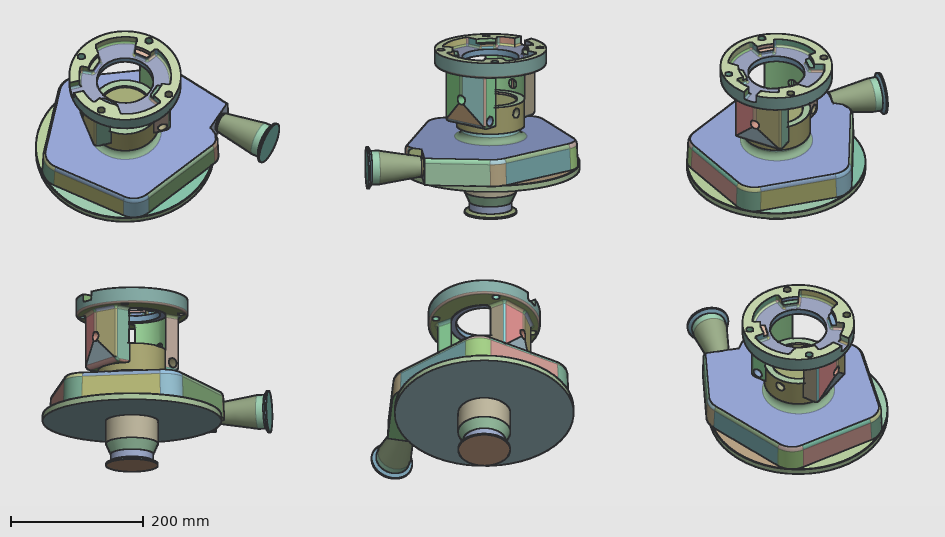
import cadquery as cq
import math

INLET_CONE_BOTTOM_Z = 17.5
INLET_CONE_TOP_Z = 33.8
DISC_BOTTOM_Z = 69.0
DISC_TOP_Z = 79.0
VOLUTE_TOP_Z = 119.5
COLLAR_BOTTOM_Z = 136.2
LEG_BOTTOM_Z = 147.5
COLLAR_TOP_Z = 177.5
FLANGE_BOTTOM_Z = 232.5
FLANGE_TOP_Z = 256.0

DISC_DIAMETER = 270.0
DISC_RADIUS = DISC_DIAMETER / 2
DISC_CHAMFER = 0.7
INLET_BODY_RADIUS = 39.5
INLET_TUBE_RADIUS = 32.5
INLET_RIM_RADIUS = 39.2
RIM_THICKNESS = 2.5
RIM_TAPER_LENGTH = 3.5
NECK_RADIUS = 44.7
NECK_FILLET = 9.8
COLLAR_RADIUS = 51.2
COLLAR_RECESS_RADIUS = 40.5
COLLAR_RECESS_DEPTH = 3.0
COLLAR_RECESS_TAPER = 0.7
COLLAR_HOLE_RADIUS = 7.3
COLLAR_HOLE_Z = 164.2
COLLAR_HOLE_DEPTH = 11.0

VOLUTE_APOTHEM = 115.0
VOLUTE_SIDE_ANGLE = 27.0
PENTAGON_STEP = 72.0
OUTER_WALL_ANGLE = 125.5
OUTER_WALL_DISTANCE = 139.5
VOLUTE_DRAFT = 2.0
VOLUTE_CORNER_RADIUS = 32.7
TONGUE_CORNER_RADIUS = 19.3
VOLUTE_EDGE_ROUND = 8.7
VOLUTE_ROUND_OVERHEIGHT = 1.8
TONGUE_CORNER = (63.5, 128.5)
TONGUE_PEAK = (56.0, 131.5)
TONGUE_ANGLE = 166.0

OUTLET_ANGLE = 45.0
OUTLET_FACE = 110.0
OUTLET_FACE_INNER_SIDE = 67.0
OUTLET_OFFSET = 96.0
OUTLET_Z = 100.5
OUTLET_END = 195.5
OUTLET_CONE_START = 113.5
OUTLET_CONE_END = 177.5
OUTLET_ROOT_RADIUS = 13.8
OUTLET_SMALL_RADIUS = 15.3
OUTLET_TUBE_RADIUS = 25.8
OUTLET_RIM_RADIUS = 31.5

LEG_HALF_WIDTH = 39.0
LEG_EDGE_Y = 59.2
LEG_RIDGE_Y = 69.5
LEG_STRIP_HALF_WIDTH = 3.0
LEG_SLOPE_START_Z = 185.5
LEG_SLOPE_END_Y = 58.5
LEG_SIDE_FILLET = 3.3
LEG_TOE_FILLET = 8.7
LEG_ROOT_FILLET = 4.5
LANTERN_BORE_RADIUS = 52.0
LANTERN_BORE_TOP_Z = 234.0
LEG_HOLE_RADIUS = 7.3
LEG_HOLE_Z = 190.5
LEG_SLIT_HALF_WIDTH = 1.8
CROSS_HOLE_Y = 47.5
CROSS_HOLE_Z = 159.0

FLANGE_RADIUS = 84.3
FLANGE_EDGE_FILLET = 3.0
FLANGE_BORE_DIAMETER = 85.5
FLANGE_BORE_RADIUS = FLANGE_BORE_DIAMETER / 2
BOLT_HOLE_RADIUS = 5.5
BOLT_HOLE_OFFSET = 53.0
POCKET_FLOOR_Z = 243.5
POCKET_RADIUS_X = 73.5
POCKET_RADIUS_Y = 69.5
POCKET_X_HALF_WIDTH = 41.8
POCKET_CORNER_RADIUS = 3.3
POCKET_FLOOR_FILLET = 3.0
PAD_END = 49.0
PAD_END_HALF_WIDTH = 11.0
PAD_OUTER = 87.2
PAD_TAPER = 17.0
PAD_WIDE_TAPER = 45.0
PAD_CORNER_RADIUS = 3.0
LEDGE_RADIUS = 57.5
LEDGE_Z = 250.0
KEY_SLOT_HALF_WIDTH = 10.0

CLEARANCE = 3.5


def direction(angle):
    return math.cos(math.radians(angle)), math.sin(math.radians(angle))


def corner(angle_a, distance_a, angle_b, distance_b):
    """Point where two lines meet, each given by its normal angle and distance from the axis."""
    ax, ay = direction(angle_a)
    bx, by = direction(angle_b)
    det = ax * by - ay * bx
    return (distance_a * by - distance_b * ay) / det, (ax * distance_b - bx * distance_a) / det


def outlet_point(along, aside):
    """Plan point given along the outlet direction and to the right of it."""
    ux, uy = direction(OUTLET_ANGLE)
    return along * ux + aside * uy, along * uy - aside * ux


def cylinder(radius, bottom, top, x=0.0, y=0.0):
    return cq.Workplane("XY").workplane(offset=bottom).center(x, y).circle(radius).extrude(top - bottom)


def make_turned_body():
    """Inlet, disc, neck and collar, turned about the Z axis."""
    rim_top = RIM_THICKNESS + RIM_TAPER_LENGTH
    profile = (
        cq.Workplane("XZ")
        .moveTo(0, 0)
        .lineTo(INLET_RIM_RADIUS, 0)
        .lineTo(INLET_RIM_RADIUS, RIM_THICKNESS)
        .lineTo(INLET_TUBE_RADIUS, rim_top)
        .lineTo(INLET_TUBE_RADIUS, INLET_CONE_BOTTOM_Z)
        .lineTo(INLET_BODY_RADIUS, INLET_CONE_TOP_Z)
        .lineTo(INLET_BODY_RADIUS, DISC_BOTTOM_Z)
        .lineTo(DISC_RADIUS, DISC_BOTTOM_Z)
        .lineTo(DISC_RADIUS, DISC_TOP_Z - DISC_CHAMFER)
        .lineTo(DISC_RADIUS - DISC_CHAMFER, DISC_TOP_Z)
        .lineTo(NECK_RADIUS + NECK_FILLET, DISC_TOP_Z)
        .lineTo(NECK_RADIUS + NECK_FILLET, VOLUTE_TOP_Z)
        .radiusArc((NECK_RADIUS, VOLUTE_TOP_Z + NECK_FILLET), NECK_FILLET)
        .lineTo(NECK_RADIUS, COLLAR_BOTTOM_Z)
        .lineTo(COLLAR_RADIUS, COLLAR_BOTTOM_Z)
        .lineTo(COLLAR_RADIUS, COLLAR_TOP_Z)
        .lineTo(COLLAR_RECESS_RADIUS, COLLAR_TOP_Z)
        .lineTo(COLLAR_RECESS_RADIUS - COLLAR_RECESS_TAPER, COLLAR_TOP_Z - COLLAR_RECESS_DEPTH)
        .lineTo(0, COLLAR_TOP_Z - COLLAR_RECESS_DEPTH)
        .close()
    )
    return profile.revolve(360, (0, 0, 0), (0, 1, 0))


def make_volute():
    """Drafted casing on a regular pentagon, drawn out on one side to the outlet face."""
    right, front_right, front_left, left = [VOLUTE_SIDE_ANGLE - PENTAGON_STEP * i for i in range(4)]
    rounded = [
        corner(right, VOLUTE_APOTHEM, front_right, VOLUTE_APOTHEM),
        corner(front_right, VOLUTE_APOTHEM, front_left, VOLUTE_APOTHEM),
        corner(front_left, VOLUTE_APOTHEM, left, VOLUTE_APOTHEM),
        corner(left, VOLUTE_APOTHEM, OUTER_WALL_ANGLE, OUTER_WALL_DISTANCE),
    ]
    overshoot = 18.0
    past_face = corner(OUTER_WALL_ANGLE, OUTER_WALL_DISTANCE, OUTLET_ANGLE, OUTLET_FACE + overshoot)
    tx, ty = direction(TONGUE_ANGLE)
    past_peak = (TONGUE_CORNER[0] + overshoot * tx, TONGUE_CORNER[1] + overshoot * ty)
    height = VOLUTE_TOP_Z - DISC_TOP_Z + VOLUTE_ROUND_OVERHEIGHT
    block = (
        cq.Workplane("XY")
        .workplane(offset=DISC_TOP_Z)
        .polyline([TONGUE_CORNER] + rounded + [past_face, past_peak])
        .close()
        .extrude(height, taper=VOLUTE_DRAFT)
    )

    def edge_near(point):
        return cq.selectors.NearestToPointSelector((point[0], point[1], (DISC_TOP_Z + VOLUTE_TOP_Z) / 2))

    for point in rounded:
        block = block.edges(edge_near(point)).fillet(VOLUTE_CORNER_RADIUS)
    block = block.edges(edge_near(TONGUE_CORNER)).fillet(TONGUE_CORNER_RADIUS)
    block = block.faces(">Z").edges().fillet(VOLUTE_EDGE_ROUND)

    far = 2 * DISC_RADIUS
    notch = (
        cq.Workplane("XY")
        .workplane(offset=DISC_TOP_Z)
        .polyline([
            outlet_point(OUTLET_FACE, OUTLET_FACE_INNER_SIDE - far),
            outlet_point(OUTLET_FACE, -OUTLET_FACE_INNER_SIDE),
            TONGUE_PEAK,
            outlet_point(far, 0),
            outlet_point(far, -far),
        ])
        .close()
        .extrude(height)
    )
    top_trim = cylinder(far, VOLUTE_TOP_Z, VOLUTE_TOP_Z + VOLUTE_ROUND_OVERHEIGHT)
    return block.cut(notch).cut(top_trim)


def make_outlet():
    """Conical nozzle with a rim, turned about the outlet axis and rooted inside the volute."""
    ux, uy = direction(OUTLET_ANGLE)
    x, y = outlet_point(0, -OUTLET_OFFSET)
    plane = cq.Plane(origin=(x, y, OUTLET_Z), xDir=(uy, -ux, 0), normal=(0, 0, 1))
    root_start = OUTLET_FACE - OUTLET_ROOT_RADIUS
    rim_start = OUTLET_END - RIM_THICKNESS
    profile = [
        (0, root_start),
        (OUTLET_ROOT_RADIUS, root_start),
        (OUTLET_ROOT_RADIUS, OUTLET_CONE_START),
        (OUTLET_SMALL_RADIUS, OUTLET_CONE_START),
        (OUTLET_TUBE_RADIUS, OUTLET_CONE_END),
        (OUTLET_TUBE_RADIUS, rim_start - RIM_TAPER_LENGTH),
        (OUTLET_RIM_RADIUS, rim_start),
        (OUTLET_RIM_RADIUS, OUTLET_END),
        (0, OUTLET_END),
    ]
    return cq.Workplane(plane).polyline(profile).close().revolve(360, (0, 0, 0), (0, 1, 0))


def make_leg_block():
    """Both legs as one block across the axis; the lantern bore later splits it."""
    quarter = [(LEG_HALF_WIDTH, LEG_EDGE_Y), (LEG_STRIP_HALF_WIDTH, LEG_RIDGE_Y)]
    back = quarter + [(-x, y) for x, y in reversed(quarter)]
    outline = back + [(-x, -y) for x, y in back]
    block = (
        cq.Workplane("XY")
        .workplane(offset=LEG_BOTTOM_Z)
        .polyline(outline)
        .close()
        .extrude(FLANGE_BOTTOM_Z - LEG_BOTTOM_Z)
    )
    envelope_half = [
        (LEG_SLOPE_END_Y, LEG_BOTTOM_Z),
        (LEG_RIDGE_Y, LEG_SLOPE_START_Z),
        (LEG_RIDGE_Y, FLANGE_BOTTOM_Z),
    ]
    envelope = (
        cq.Workplane("YZ")
        .polyline(envelope_half + [(-y, z) for y, z in reversed(envelope_half)])
        .close()
        .extrude(LEG_HALF_WIDTH, both=True)
    )
    block = block.intersect(envelope)
    block = block.faces("<Z").edges("|X").fillet(LEG_TOE_FILLET)
    return block.faces("<X or >X").edges("not >Z").fillet(LEG_SIDE_FILLET)


def make_pad(quadrant_angle, taper_right, taper_left):
    """Prism standing in the flange pocket, narrowing towards the axis, with rounded inner corners."""
    length = PAD_OUTER - PAD_END
    right = PAD_END_HALF_WIDTH + length * math.tan(math.radians(taper_right))
    left = PAD_END_HALF_WIDTH + length * math.tan(math.radians(taper_left))
    return (
        cq.Workplane("XY")
        .workplane(offset=POCKET_FLOOR_Z)
        .polyline([
            (PAD_END, -PAD_END_HALF_WIDTH),
            (PAD_OUTER, -right),
            (PAD_OUTER, left),
            (PAD_END, PAD_END_HALF_WIDTH),
        ])
        .close()
        .extrude(FLANGE_TOP_Z - POCKET_FLOOR_Z)
        .edges("|Z and <X")
        .fillet(PAD_CORNER_RADIUS)
        .rotate((0, 0, 0), (0, 0, 1), quadrant_angle)
    )


def make_pocket():
    """Recess in the flange top: four sectors between the pads and a key slot to the front."""
    depth = FLANGE_TOP_Z - POCKET_FLOOR_Z
    middle_z = (FLANGE_TOP_Z + POCKET_FLOOR_Z) / 2
    side_sectors = cylinder(POCKET_RADIUS_X, POCKET_FLOOR_Z, FLANGE_TOP_Z).intersect(
        cq.Workplane("XY")
        .box(2 * FLANGE_RADIUS, 2 * POCKET_X_HALF_WIDTH, depth)
        .translate((0, 0, middle_z))
    )
    key_slot_length = FLANGE_RADIUS + 2 * CLEARANCE
    key_slot = (
        cq.Workplane("XY")
        .box(2 * KEY_SLOT_HALF_WIDTH, key_slot_length, depth)
        .translate((0, -key_slot_length / 2, middle_z))
    )
    pocket = cylinder(POCKET_RADIUS_Y, POCKET_FLOOR_Z, FLANGE_TOP_Z).union(side_sectors)
    pads = [
        make_pad(45, PAD_TAPER, PAD_TAPER),
        make_pad(135, PAD_TAPER, PAD_TAPER),
        make_pad(225, PAD_WIDE_TAPER, PAD_TAPER),
        make_pad(315, PAD_TAPER, PAD_WIDE_TAPER),
    ]
    for pad in pads:
        pocket = pocket.cut(pad)
    inside = cq.selectors.BoxSelector((-PAD_END, -PAD_END, 0), (PAD_END, PAD_END, FLANGE_TOP_Z))
    upright = cq.selectors.StringSyntaxSelector("|Z")
    pocket = pocket.edges(cq.selectors.SubtractSelector(upright, inside)).fillet(POCKET_CORNER_RADIUS)
    return pocket.union(key_slot).faces("<Z").edges().fillet(POCKET_FLOOR_FILLET)


def make_flange():
    return cylinder(FLANGE_RADIUS, FLANGE_BOTTOM_Z, FLANGE_TOP_Z).faces("<Z").edges().fillet(FLANGE_EDGE_FILLET)


def make_leg_holes():
    """Blind round holes in both legs; their flat ends break through the bore as a narrow slit."""
    floor_y = math.sqrt(LANTERN_BORE_RADIUS**2 - LEG_SLIT_HALF_WIDTH**2)
    hole = (
        cq.Workplane("XZ")
        .workplane(offset=floor_y)
        .center(0, LEG_HOLE_Z)
        .circle(LEG_HOLE_RADIUS)
        .extrude(LEG_RIDGE_Y - floor_y)
    )
    return hole.union(hole.mirror("XZ"))


def make_lantern():
    """Top flange with the two legs that carry it on the collar."""
    lantern = make_flange().union(make_leg_block())
    root_band = 0.5
    root = cq.selectors.BoxSelector(
        (-LEG_HALF_WIDTH - CLEARANCE, -LEG_RIDGE_Y - CLEARANCE, FLANGE_BOTTOM_Z - root_band),
        (LEG_HALF_WIDTH + CLEARANCE, LEG_RIDGE_Y + CLEARANCE, FLANGE_BOTTOM_Z + root_band),
    )
    lantern = lantern.edges(root).fillet(LEG_ROOT_FILLET)
    lantern = lantern.cut(cylinder(LANTERN_BORE_RADIUS, COLLAR_TOP_Z, LANTERN_BORE_TOP_Z))
    lantern = lantern.cut(cylinder(COLLAR_RADIUS, LEG_BOTTOM_Z, COLLAR_TOP_Z))
    lantern = lantern.cut(cylinder(FLANGE_BORE_RADIUS, LANTERN_BORE_TOP_Z, FLANGE_TOP_Z))
    lantern = lantern.cut(make_pocket()).cut(make_leg_holes())
    lantern = lantern.cut(cylinder(LEDGE_RADIUS, LEDGE_Z, FLANGE_TOP_Z))
    for sx in (-1, 1):
        for sy in (-1, 1):
            x, y = sx * BOLT_HOLE_OFFSET, sy * BOLT_HOLE_OFFSET
            lantern = lantern.cut(cylinder(BOLT_HOLE_RADIUS, FLANGE_BOTTOM_Z, FLANGE_TOP_Z, x, y))
    return lantern


def make_cross_hole():
    """Hole along X through the back leg and the edge of the collar."""
    return (
        cq.Workplane("YZ")
        .center(CROSS_HOLE_Y, CROSS_HOLE_Z)
        .circle(LEG_HOLE_RADIUS)
        .extrude(LEG_HALF_WIDTH + CLEARANCE, both=True)
    )


def make_collar_hole():
    """Blind hole in the -X side of the collar."""
    return (
        cq.Workplane("YZ")
        .workplane(offset=-COLLAR_RADIUS)
        .center(0, COLLAR_HOLE_Z)
        .circle(COLLAR_HOLE_RADIUS)
        .extrude(COLLAR_HOLE_DEPTH)
    )


result = (
    make_turned_body()
    .union(make_volute())
    .union(make_outlet())
    .union(make_lantern())
    .cut(make_cross_hole())
    .cut(make_collar_hole())
)